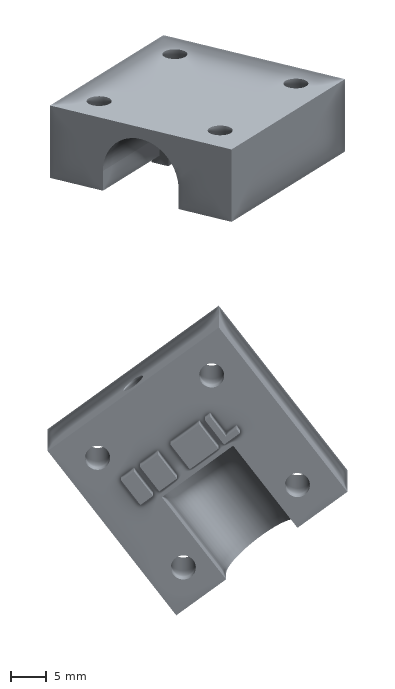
import cadquery as cq

side = 30.0
block_height = 11.0

corner_hole_diameter = 3.5
corner_hole_pitch = 20.0

arch_width = 12.5
arch_radius = arch_width / 2
axis_height = 3.0
pocket_depth = side / 2

axial_hole_diameter = 3.4

mark_height = 1.98
mark_front = 1.35
mark_length = 4.47
angle_left = -8.43
angle_width = 2.75
angle_foot = 0.78
angle_stem = 0.9
bars = [(-4.68, 5.0), (2.58, 3.12), (6.78, 2.22)]


def make_block():
    return cq.Workplane("XY").box(side, side, block_height, centered=(True, True, False))


def corner_holes():
    return (
        cq.Workplane("XY")
        .rect(corner_hole_pitch, corner_hole_pitch, forConstruction=True)
        .vertices()
        .circle(corner_hole_diameter / 2)
        .extrude(block_height)
    )


def arched_pocket():
    return (
        cq.Workplane("XZ", origin=(0, -side / 2, 0))
        .moveTo(-arch_radius, 0)
        .lineTo(-arch_radius, axis_height)
        .threePointArc((0, axis_height + arch_radius), (arch_radius, axis_height))
        .lineTo(arch_radius, 0)
        .close()
        .extrude(-pocket_depth)
    )


def axial_hole():
    return (
        cq.Workplane("XZ", origin=(0, -side / 2, axis_height))
        .circle(axial_hole_diameter / 2)
        .extrude(-side)
    )


def raised_bar(left, width, length):
    return (
        cq.Workplane("XY", origin=(left, mark_front, -mark_height))
        .rect(width, length, centered=False)
        .extrude(mark_height)
    )


result = make_block().cut(corner_holes()).cut(arched_pocket()).cut(axial_hole())

result = result.union(raised_bar(angle_left, angle_width, angle_foot))
stem_left = angle_left + angle_width - angle_stem
result = result.union(raised_bar(stem_left, angle_stem, mark_length))

for bar_left, bar_width in bars:
    result = result.union(raised_bar(bar_left, bar_width, mark_length))